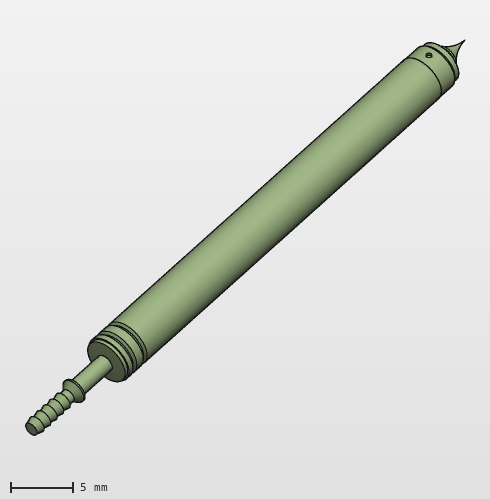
import cadquery as cq

total_length = 54.4

needle_length = 1.4
needle_radius = 0.41
cone_end = 2.35
collar_radius = 1.1
collar_end = 2.5
shoulder_start = 3.05

shoulder_radius = 1.9
shoulder_end = 3.55
nose_radius = 2.05
nose_start = 3.75
nose_end = 5.45
body_diameter = 4.2
body_radius = body_diameter / 2
body_end = 44.65

groove_starts = (42.4, 43.7)
groove_bottom_offset = 0.2
groove_width = 0.5
groove_bottom_radius = 1.9

rear_step_radius = 1.95
rear_step_end = 45.0
rear_face_radius = 1.0
rear_face_end = 45.15

stem_radius = 0.75
flange_radius = 1.1
flange_start = 48.95
flange_end = 49.1
flange_taper_end = 49.7

first_barb_start = 50.45
barb_count = 5
barb_pitch = 0.8
barb_length = 0.6
barb_radius = 0.75
neck_radius = 0.6

hole_diameter = 0.5
hole_depth = 0.25
hole_station = 4.5


def point(radius, station):
    """Profile point, with the length of the probe centred on the origin."""
    return (radius, total_length / 2 - station)


def tip_outline():
    return [
        point(collar_radius, collar_end),
        point(shoulder_radius, shoulder_start),
    ]


def body_outline():
    points = [
        point(shoulder_radius, shoulder_end),
        point(nose_radius, nose_start),
        point(nose_radius, nose_end),
        point(body_radius, nose_end),
    ]
    for start in groove_starts:
        points += [
            point(body_radius, start),
            point(groove_bottom_radius, start + groove_bottom_offset),
            point(body_radius, start + groove_width),
        ]
    points += [
        point(body_radius, body_end),
        point(rear_step_radius, body_end),
        point(rear_step_radius, rear_step_end),
        point(rear_face_radius, rear_face_end),
    ]
    return points


def tail_outline():
    points = [
        point(stem_radius, rear_face_end),
        point(stem_radius, flange_start),
        point(flange_radius, flange_start),
        point(flange_radius, flange_end),
        point(neck_radius, flange_taper_end),
    ]
    for i in range(barb_count):
        start = first_barb_start + i * barb_pitch
        points += [
            point(neck_radius, start),
            point(barb_radius, start),
            point(neck_radius, start + barb_length),
        ]
    points += [
        point(neck_radius, total_length),
        point(0, total_length),
    ]
    return points


outline = tip_outline() + body_outline() + tail_outline()
probe = (
    cq.Workplane("XY")
    .moveTo(*point(0, 0))
    .threePointArc(point(needle_radius, needle_length), point(collar_radius, cone_end))
    .polyline(outline, includeCurrent=True)
    .close()
    .revolve(360, (0, 0, 0), (0, 1, 0))
)

hole_y = point(0, hole_station)[1]
nose_hole = (
    cq.Workplane("XY", origin=(0, hole_y, nose_radius - hole_depth))
    .circle(hole_diameter / 2)
    .extrude(body_radius)
)

result = probe.cut(nose_hole)